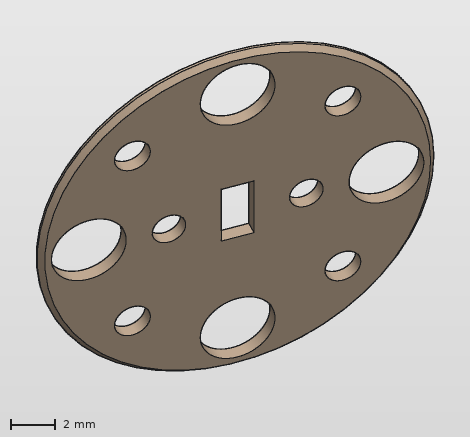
import cadquery as cq

disc_diameter = 19.05
thickness = 0.67
rim_land = 0.13
bevel = (thickness - rim_land) / 2

hole_circle_radius = 7.15
large_hole_diameter = 3.58
medium_hole_diameter = 1.71
small_hole_diameter = 1.6
small_hole_offset = 3.3
slot_width = 1.56
slot_height = 3.16


def drill_ring(body, radius, start_angle, count, diameter):
    """Cut evenly spaced through holes on a circle about the disc axis."""
    return (
        body.faces(">X")
        .workplane(origin=(0, 0, 0))
        .polarArray(radius, start_angle, 360, count)
        .hole(diameter)
    )


disc = (
    cq.Workplane("YZ", origin=(-thickness / 2, 0, 0))
    .circle(disc_diameter / 2)
    .extrude(thickness)
    .edges("%CIRCLE")
    .chamfer(bevel)
)

disc = drill_ring(disc, hole_circle_radius, 0, 4, large_hole_diameter)
disc = drill_ring(disc, hole_circle_radius, 45, 4, medium_hole_diameter)
disc = drill_ring(disc, small_hole_offset, 0, 2, small_hole_diameter)

slot = cq.Workplane("YZ").rect(slot_width, slot_height).extrude(thickness, both=True)
result = disc.cut(slot)